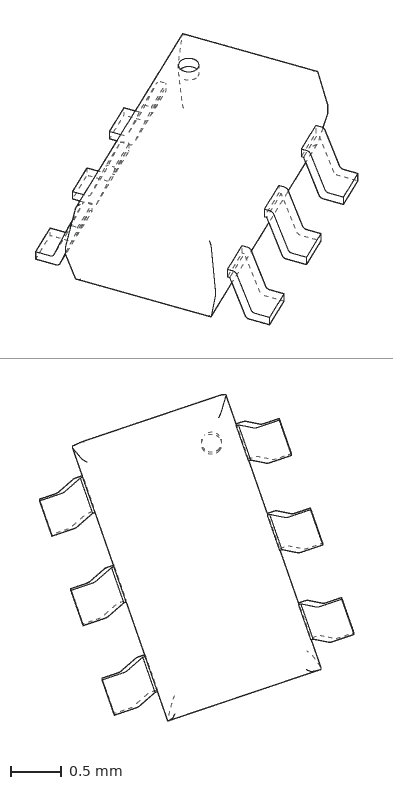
import cadquery as cq
import math


span = 2.5
body_length = 2.9
total_height = 1.1

body_width = 1.6
standoff = 0.1
face_inset = 0.08
edge_radius = 0.04

lead_thickness = 0.1
lead_width = 0.375
lead_pitch = 0.95
leads_per_side = 3
lead_top = 0.585
leg_lean = math.radians(20)
shoulder_reach = 0.088
bend_radius = 0.045

belt_top = lead_top
belt_bottom = lead_top - lead_thickness

mark_diameter = 0.2
mark_depth = 0.11
mark_x = -0.48
mark_y = lead_pitch


def tapered_half(belt_level, face_level):
    """Half of the body, narrowing from the belt to a flat face with rounded edges."""
    face_width = body_width - 2 * face_inset
    face_length = body_length - 2 * face_inset
    half = (
        cq.Workplane("XY", origin=(0, 0, belt_level))
        .rect(body_width, body_length)
        .workplane(offset=face_level - belt_level)
        .rect(face_width, face_length)
        .loft(ruled=True)
    )
    face_side = ">Z" if face_level > belt_level else "<Z"
    return half.faces(face_side).edges().fillet(edge_radius)


def make_body():
    """Moulded body with the round pin 1 recess in its top face."""
    belt = (
        cq.Workplane("XY", origin=(0, 0, belt_bottom))
        .rect(body_width, body_length)
        .extrude(belt_top - belt_bottom)
    )
    upper = tapered_half(belt_top, total_height)
    lower = tapered_half(belt_bottom, standoff)
    mark = (
        cq.Workplane("XY", origin=(mark_x, mark_y, total_height - mark_depth))
        .circle(mark_diameter / 2)
        .extrude(mark_depth)
    )
    return belt.union(upper).union(lower).cut(mark)


def make_lead(side, y_center):
    """One gull-wing lead; side is +1 or -1 for the +X or -X flank of the body."""
    inner_end = body_width / 2
    tip = span / 2
    shoulder = inner_end + shoulder_reach
    heel_top = shoulder + (lead_top - lead_thickness) * math.tan(leg_lean)
    underside = shoulder + lead_thickness * math.tan(leg_lean) - lead_thickness
    heel_bottom = underside + belt_bottom * math.tan(leg_lean)

    outline = [
        (inner_end, lead_top),
        (shoulder, lead_top),
        (heel_top, lead_thickness),
        (tip, lead_thickness),
        (tip, 0),
        (heel_bottom, 0),
        (underside, belt_bottom),
        (inner_end, belt_bottom),
    ]
    rounded_corners = [outline[1], outline[2], outline[5]]

    lead = (
        cq.Workplane("XZ", origin=(0, y_center, 0))
        .polyline([(side * x, z) for x, z in outline])
        .close()
        .extrude(lead_width / 2, both=True)
    )
    for x, z in rounded_corners:
        corner = cq.selectors.NearestToPointSelector((side * x, y_center, z))
        lead = lead.edges("|Y").edges(corner).fillet(bend_radius)
    return lead


body = make_body()

leads = []
for side in (-1, 1):
    for row in range(leads_per_side):
        y_center = (row - (leads_per_side - 1) / 2) * lead_pitch
        leads.append(make_lead(side, y_center))

result = cq.Compound.makeCompound([body.val(), *[lead.val() for lead in leads]])